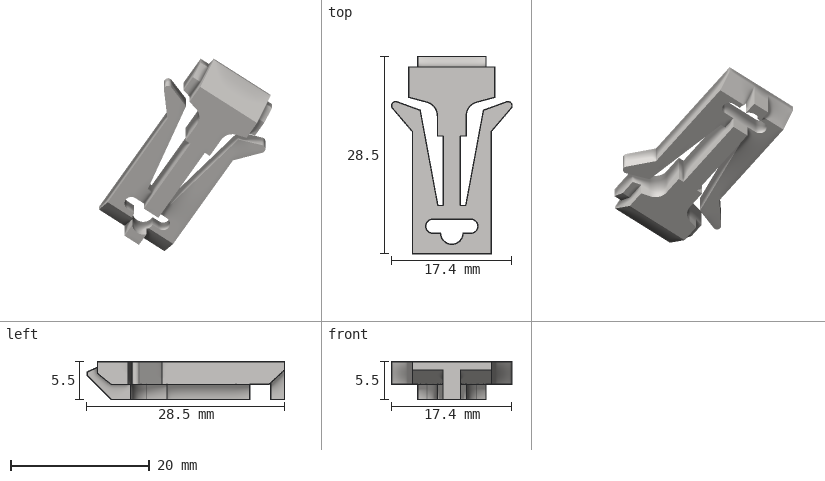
import cadquery as cq
import math

total_height = 5.5
rib_depth = 2.2

body_half_width = 5.7
tail_edge_height = 1.2
tail_bevel_length = 2.25
slit_end_y = 7.0
slit_end_half_width = 2.0
arm_corner_x = 4.55
arm_tip_radius = 0.6
arm_tip_x = 8.105
arm_tip_y = 21.4
arm_end_angle = math.radians(20)
arm_flare_angle = math.radians(49.5)

head_half_width = 6.22
head_end_y = 27.0
head_bevel_length = 2.0
head_bevel_height = 1.6
shoulder_angle = math.radians(15)
neck_half_width = 2.1
neck_start_y = 17.0
neck_fillet_radius = 2.0
neck_fillet_y = 19.95
stem_half_width = 1.25

hook_half_width = 4.95
hook_end_y = 28.5
hook_root_height = 4.7
hook_tip_top = 4.0
hook_tip_bottom = 3.5

slot_length = 7.5
slot_width = 2.0
slot_y = 4.0
keyhole_radius = 1.6


def extrude_up(outline, bottom, top):
    return outline.extrude(top - bottom).translate((0, 0, bottom))


def extrude_across(points, half_width):
    """Extrude a (Y, Z) profile symmetrically about the plane X = 0."""
    return cq.Workplane("YZ").polyline(points).close().extrude(half_width, both=True)


def head_outline(end_y):
    """Stem, filleted neck and head, from the tail edge up to end_y."""
    fillet_x = neck_half_width + neck_fillet_radius

    def fillet_point(angle):
        return (
            fillet_x - neck_fillet_radius * math.cos(angle),
            neck_fillet_y + neck_fillet_radius * math.sin(angle),
        )

    sweep = math.pi / 2 - shoulder_angle
    fillet_end = fillet_point(sweep)
    shoulder_y = fillet_end[1] + (head_half_width - fillet_end[0]) * math.tan(shoulder_angle)
    half = (
        cq.Workplane("XY")
        .moveTo(0, 0)
        .lineTo(stem_half_width, 0)
        .lineTo(stem_half_width, neck_start_y)
        .lineTo(neck_half_width, neck_start_y)
        .lineTo(*fillet_point(0))
        .threePointArc(fillet_point(sweep / 2), fillet_end)
        .lineTo(head_half_width, shoulder_y)
        .lineTo(head_half_width, end_y)
        .lineTo(0, end_y)
    )
    return half.mirrorY()


def body_outline():
    """Tail of the plate with both arms, as if the slits met at the middle."""
    def tip_point(angle):
        return (
            arm_tip_x + arm_tip_radius * math.cos(angle),
            arm_tip_y + arm_tip_radius * math.sin(angle),
        )

    flare_end = tip_point(arm_flare_angle - math.pi / 2)
    end_start = tip_point(math.pi / 2 + arm_end_angle)
    flare_start_y = flare_end[1] - (flare_end[0] - body_half_width) * math.tan(arm_flare_angle)
    arm_corner_y = end_start[1] - (end_start[0] - arm_corner_x) * math.tan(arm_end_angle)
    half = (
        cq.Workplane("XY")
        .lineTo(body_half_width, 0)
        .lineTo(body_half_width, flare_start_y)
        .lineTo(*flare_end)
        .threePointArc(tip_point((arm_flare_angle + arm_end_angle) / 2), end_start)
        .lineTo(arm_corner_x, arm_corner_y)
        .lineTo(slit_end_half_width, slit_end_y)
        .lineTo(0, slit_end_y)
    )
    return half.mirrorY()


def plate():
    """Upper layer: body, arms, stem and head, bevelled below at both ends."""
    layer = extrude_up(body_outline(), rib_depth, total_height)
    layer = layer.union(extrude_up(head_outline(head_end_y), rib_depth, total_height))
    side_profile = [
        (tail_bevel_length, rib_depth),
        (head_end_y - head_bevel_length, rib_depth),
        (head_end_y, rib_depth + head_bevel_height),
        (head_end_y, total_height),
        (0, total_height),
        (0, total_height - tail_edge_height),
    ]
    return layer.intersect(extrude_across(side_profile, arm_tip_x + arm_tip_radius))


def rib_and_hook():
    """Narrower core: rib under the stem and neck, ending in the sloped hook."""
    core = extrude_up(head_outline(hook_end_y), 0, total_height)
    side_profile = [
        (0, 0),
        (hook_end_y - hook_tip_bottom, 0),
        (hook_end_y, hook_tip_bottom),
        (hook_end_y, hook_tip_top),
        (head_end_y, hook_root_height),
        (head_end_y, total_height),
        (0, total_height),
    ]
    return core.intersect(extrude_across(side_profile, hook_half_width))


def keyhole():
    slot = cq.Workplane("XY").center(0, slot_y).slot2D(slot_length, slot_width).extrude(total_height)
    lobe = cq.Workplane("XY").center(0, slot_y - slot_width / 2).circle(keyhole_radius).extrude(total_height)
    return slot.union(lobe)


result = plate().union(rib_and_hook()).cut(keyhole())